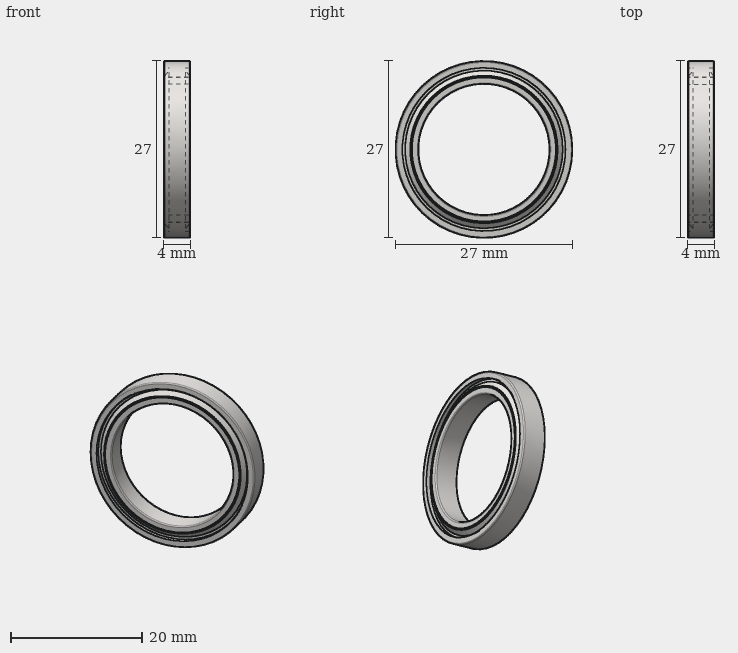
import cadquery as cq

width = 4.0
half_width = width / 2
outer_radius = 13.5
bore_radius = 10.0
rim_search_tolerance = 0.003
corner_radius = 0.2

inner_ring_outer_radius = 11.02
outer_ring_inner_radius = 11.12

groove_wall_radius = 12.45
groove_floor_radius = 12.02
flank_top_radius = 11.25
groove_depth = 0.73
flank_top_depth = 0.08

groove_floor_x = half_width - groove_depth
flank_top_x = half_width - flank_top_depth


def revolve_about_x(points):
    """Revolve a closed (x, radius) outline around the X axis."""
    return cq.Workplane("XY").polyline(points).close().revolve(360, (0, 0, 0), (1, 0, 0))


def round_rims(ring, radius):
    """Fillet the two circular edges of the given radius on the side faces."""
    rims = [
        edge
        for edge in ring.edges("%CIRCLE").vals()
        if abs(edge.radius() - radius) < rim_search_tolerance
    ]
    return ring.newObject(rims).fillet(corner_radius)


def make_outer_ring():
    """Outer ring with a groove in both side faces."""
    right_side = [
        (flank_top_x, outer_ring_inner_radius),
        (flank_top_x, flank_top_radius),
        (groove_floor_x, groove_floor_radius),
        (groove_floor_x, groove_wall_radius),
        (half_width, groove_wall_radius),
        (half_width, outer_radius),
    ]
    left_side = [(-x, radius) for x, radius in reversed(right_side)]
    return round_rims(revolve_about_x(right_side + left_side), outer_radius)


def make_inner_ring():
    """Plain inner ring with rounded bore rims."""
    outline = [
        (-half_width, bore_radius),
        (half_width, bore_radius),
        (half_width, inner_ring_outer_radius),
        (-half_width, inner_ring_outer_radius),
    ]
    return round_rims(revolve_about_x(outline), bore_radius)


outer_ring = make_outer_ring()
inner_ring = make_inner_ring()

result = cq.Compound.makeCompound([outer_ring.val(), inner_ring.val()])